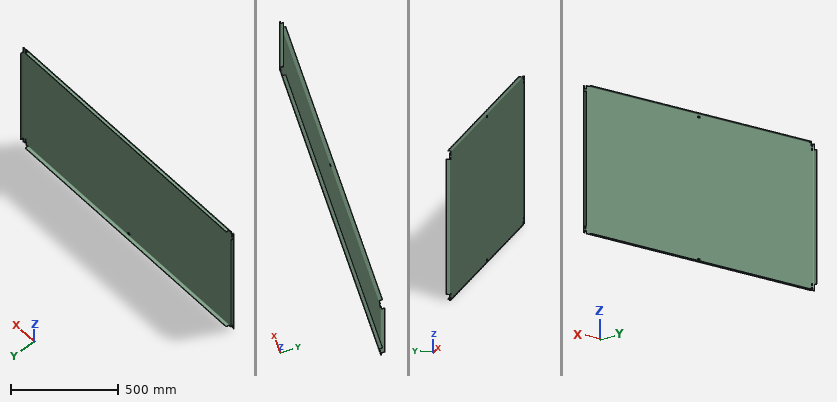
import cadquery as cq

length = 1478.0
depth = 19.0
height = 715.0

sheet = 1.8
bend_outer = 3.5
bend_inner = bend_outer - sheet

flange_inset = 33.0
flange_corner = 5.0

notch_width = 10.0
notch_depth = 16.0
notch_outer_inset = 9.0
notch_inner_inset = notch_outer_inset + notch_width

middle_slot_length = 13.0
middle_slot_width = 7.0
middle_slot_inset = 13.0
corner_slot_length = 9.0
corner_slot_width = 5.0
corner_slot_side_inset = 13.0
corner_slot_end_inset = 31.0

half_length = length / 2
half_height = height / 2
front = -depth / 2
back = depth / 2
flange_base = front + bend_outer
mirror_signs = (-1, 1)


def block(x_range, y_range, z_range):
    """Box spanning the three given ranges."""
    size = [high - low for low, high in (x_range, y_range, z_range)]
    corner = (x_range[0], y_range[0], z_range[0])
    return cq.Workplane("XY").box(*size, centered=False).translate(corner)


def fold_and_flange(half_span, fold_end, flange_end):
    """Quarter-round fold and its flange along X, with the outer face at Z = half_span."""
    tangent = half_span - bend_outer
    fold = (
        cq.Workplane("YZ", origin=(-fold_end, 0, 0))
        .moveTo(front, tangent)
        .radiusArc((flange_base, half_span), bend_outer)
        .lineTo(flange_base, half_span - sheet)
        .radiusArc((front + sheet, tangent), -bend_inner)
        .close()
        .extrude(2 * fold_end)
    )
    flange = block(
        (-flange_end, flange_end), (flange_base, back), (half_span - sheet, half_span)
    )
    flange = flange.edges("|Z and >Y").fillet(flange_corner)
    return fold.union(flange)


def slot(x, z, slot_length, slot_width, angle):
    """Round-ended slot through the panel, turned by angle from the X direction."""
    plane = cq.Workplane("XZ", origin=(0, back, 0)).center(x, z)
    return plane.slot2D(slot_length, slot_width, angle).extrude(depth)


def notch(x_sign, z_sign):
    """Round-ended notch that parts the end of a side fold from the neighbouring long fold."""
    x = x_sign * (half_length - notch_outer_inset - notch_width / 2)
    return slot(x, z_sign * half_height, 2 * notch_depth, notch_width, 90)


result = block(
    (bend_outer - half_length, half_length - bend_outer),
    (front, front + sheet),
    (bend_outer - half_height, half_height - bend_outer),
)

long_flange = fold_and_flange(
    half_height, half_length - notch_inner_inset, half_length - flange_inset
)
side_flange = fold_and_flange(
    half_length, half_height - bend_outer, half_height - flange_inset
)
for turn in (0, 180):
    result = result.union(long_flange.rotate((0, 0, 0), (0, 1, 0), turn))
    result = result.union(side_flange.rotate((0, 0, 0), (0, 1, 0), turn + 90))

for z_sign in mirror_signs:
    for x_sign in mirror_signs:
        result = result.cut(notch(x_sign, z_sign))
        slot_x = x_sign * (half_length - corner_slot_side_inset)
        slot_z = z_sign * (half_height - corner_slot_end_inset)
        result = result.cut(slot(slot_x, slot_z, corner_slot_length, corner_slot_width, 90))
    middle_z = z_sign * (half_height - middle_slot_inset)
    result = result.cut(slot(0, middle_z, middle_slot_length, middle_slot_width, 0))